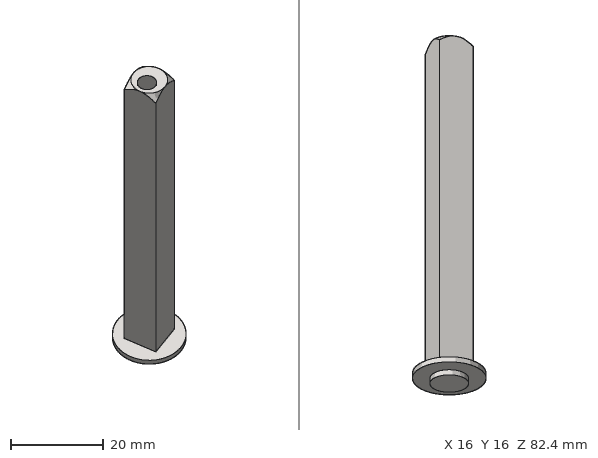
import cadquery as cq

total_height = 82.4
flange_diameter = 16.0
flange_thickness = 1.2
spigot_diameter = 8.4
spigot_height = 1.2
post_width = 8.0

top_circle_diameter = post_width
chamfer_height = 2.5

hole_diameter = 4.2
hole_offset = 1.0
hole_depth = 2 * hole_diameter

flange_top = spigot_height + flange_thickness
post_height = total_height - flange_top


def disc(diameter, height, bottom):
    """Cylinder on the Z axis standing on the given level."""
    return cq.Workplane("XY").workplane(offset=bottom).circle(diameter / 2).extrude(height)


def corner_envelope():
    """Turned solid around the post: a straight cylinder closed by the chamfer cone."""
    top_radius = top_circle_diameter / 2
    outer_radius = top_radius + chamfer_height
    return (
        cq.Workplane("XZ")
        .moveTo(0, flange_top)
        .lineTo(outer_radius, flange_top)
        .lineTo(outer_radius, total_height - chamfer_height)
        .lineTo(top_radius, total_height)
        .lineTo(0, total_height)
        .close()
        .revolve(360, (0, 0), (0, 1))
    )


def square_post():
    """Square bar with its top corners turned off."""
    bar = cq.Workplane("XY").workplane(offset=flange_top).rect(post_width, post_width).extrude(post_height)
    return bar.intersect(corner_envelope())


spigot = disc(spigot_diameter, spigot_height, 0)
flange = disc(flange_diameter, flange_thickness, spigot_height)
hole = disc(hole_diameter, hole_depth, total_height - hole_depth).translate((0, -hole_offset, 0))

result = spigot.union(flange).union(square_post()).cut(hole)